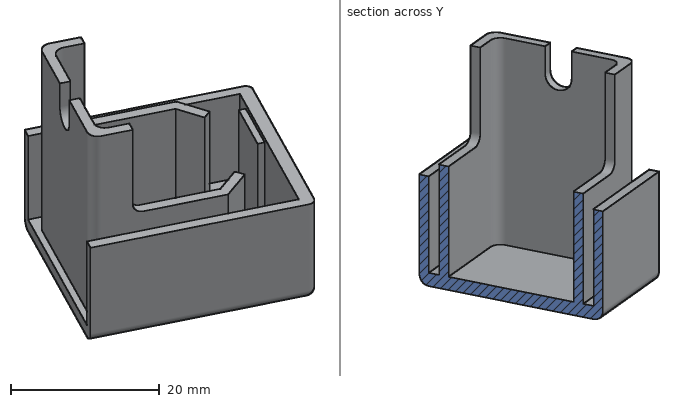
import cadquery as cq
import math

tray_width = 28.0
tray_depth = 32.0
tray_height = 16.0
side_wall = 1.5
back_wall = 2.0
floor = 2.0
back_corner_radius = 1.0
bottom_radius = 1.5

clip_width = 22.0
clip_wall = 1.5
clip_front = 1.0
clip_bend = 20.5
lip_length = 5.0
lip_angle = math.radians(45)
clip_corner_radius = 1.5
clip_side_height = 18.0
clip_full_height = 32.0
tall_depth = 7.0
step_radius = 1.5
slot_width = 4.0
slot_depth = 6.0

tab_width = 8.0
tab_thickness = 1.0
tab_front = 27.0
tab_height = 20.0


def make_tray():
    tray = cq.Workplane("XY").box(tray_width, tray_depth, tray_height, centered=(True, False, False))
    tray = tray.edges("|Z and >Y").fillet(back_corner_radius)
    tray = tray.faces("<Z").edges("not <Y").fillet(bottom_radius)
    cavity = (
        cq.Workplane("XY", origin=(0, 0, floor))
        .box(tray_width - 2 * side_wall, tray_depth - back_wall, tray_height, centered=(True, False, False))
    )
    return tray.cut(cavity)


def clip_plan():
    """Solid block of the clip's C-shaped footprint, from the floor to full height."""
    outer_x = clip_width / 2
    inner_x = outer_x - clip_wall
    inner_bend = clip_bend - clip_wall * math.tan(lip_angle / 2)
    lip_x = outer_x - lip_length * math.sin(lip_angle)
    lip_y = clip_bend + lip_length * math.cos(lip_angle)
    inner_lip_x = lip_x - clip_wall * math.cos(lip_angle)
    inner_lip_y = lip_y - clip_wall * math.sin(lip_angle)
    inner_front = clip_front + clip_wall
    right_outer = [(outer_x, clip_front), (outer_x, clip_bend), (lip_x, lip_y)]
    right_inner = [(inner_lip_x, inner_lip_y), (inner_x, inner_bend), (inner_x, inner_front)]
    right_half = right_outer + right_inner
    left_half = [(-x, y) for x, y in reversed(right_half)]
    plan = (
        cq.Workplane("XY", origin=(0, 0, floor))
        .polyline(right_half + left_half)
        .close()
        .extrude(clip_full_height - floor)
    )
    front_corners = cq.selectors.BoxSelector(
        (-tray_width, 0, 0), (tray_width, inner_front + clip_wall, clip_full_height)
    )
    return plan.edges("|Z").edges(front_corners).fillet(clip_corner_radius)


def make_clip():
    step = (
        cq.Workplane("XY", origin=(0, tall_depth, clip_side_height))
        .box(tray_width, tray_depth, clip_full_height, centered=(True, False, False))
        .edges("<Y and <Z")
        .fillet(step_radius)
    )
    slot_radius = slot_width / 2
    slot_base = clip_full_height - slot_depth
    slot = (
        cq.Workplane("XZ")
        .moveTo(-slot_radius, clip_full_height)
        .lineTo(-slot_radius, slot_base + slot_radius)
        .threePointArc((0, slot_base), (slot_radius, slot_base + slot_radius))
        .lineTo(slot_radius, clip_full_height)
        .close()
        .extrude(-tall_depth)
    )
    return clip_plan().cut(step).cut(slot)


def make_tab():
    return cq.Workplane("XY", origin=(0, tab_front, floor)).box(
        tab_width, tab_thickness, tab_height - floor, centered=(True, False, False)
    )


result = make_tray().union(make_clip()).union(make_tab())